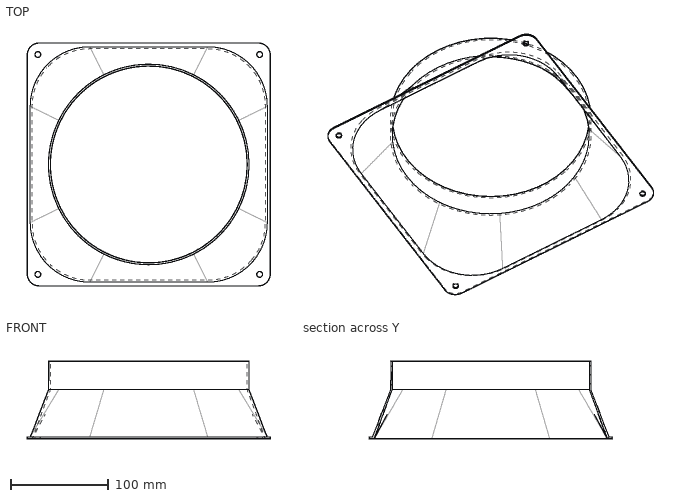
import cadquery as cq
import math

flange_side = 250.0
flange_thickness = 2.0
flange_corner_radius = 12.5
total_height = 80.0

collar_diameter = 206.2
collar_base_height = 50.5
wall = 2.0
hood_length_x = 243.8
hood_length_y = 242.0
hood_corner_radius = 61.2

hole_diameter = 5.8
hole_spacing_x = 228.0
hole_spacing_y = 226.0

outer_radius = collar_diameter / 2
inner_radius = outer_radius - wall


def rounded_rectangle(length_x, length_y, corner_radius, z):
    """Closed wire of four straight sides and four corner arcs."""
    half_x = length_x / 2
    half_y = length_y / 2
    flat_x = half_x - corner_radius
    flat_y = half_y - corner_radius
    arc_x = flat_x + corner_radius * math.sqrt(0.5)
    arc_y = flat_y + corner_radius * math.sqrt(0.5)
    outline = (
        cq.Workplane("XY", origin=(0, 0, z))
        .moveTo(half_x, -flat_y)
        .lineTo(half_x, flat_y)
        .threePointArc((arc_x, arc_y), (flat_x, half_y))
        .lineTo(-flat_x, half_y)
        .threePointArc((-arc_x, arc_y), (-half_x, flat_y))
        .lineTo(-half_x, -flat_y)
        .threePointArc((-arc_x, -arc_y), (-flat_x, -half_y))
        .lineTo(flat_x, -half_y)
        .threePointArc((arc_x, -arc_y), (half_x, -flat_y))
        .close()
    )
    return outline.val()


def split_circle(radius, side_half_angle, end_half_angle, z):
    """Circle of eight arcs, one facing each of the sides and corners of the rectangle."""
    def point(angle):
        return radius * math.cos(angle), radius * math.sin(angle)

    breaks = [-side_half_angle]
    for quarter in range(4):
        middle = quarter * math.pi / 2
        half_angle = end_half_angle if quarter % 2 else side_half_angle
        if quarter:
            breaks.append(middle - half_angle)
        breaks.append(middle + half_angle)
    breaks.append(2 * math.pi - side_half_angle)

    outline = cq.Workplane("XY", origin=(0, 0, z)).moveTo(*point(breaks[0]))
    for start, end in zip(breaks, breaks[1:]):
        outline = outline.threePointArc(point((start + end) / 2), point(end))
    return outline.close().val()


def hood_solid(inset, bottom):
    """Square-to-round transition, drawn in from the outer surface by inset."""
    length_x = hood_length_x - 2 * inset
    length_y = hood_length_y - 2 * inset
    corner_radius = hood_corner_radius - inset
    side_half_angle = math.atan2(length_y / 2 - corner_radius, length_x / 2)
    end_half_angle = math.atan2(length_x / 2 - corner_radius, length_y / 2)
    base = rounded_rectangle(length_x, length_y, corner_radius, bottom)
    circle = split_circle(
        outer_radius - inset, side_half_angle, end_half_angle, collar_base_height
    )
    return cq.Workplane(cq.Solid.makeLoft([base, circle], True))


def vertical_cylinder(radius, bottom, top):
    return cq.Workplane("XY", origin=(0, 0, bottom)).circle(radius).extrude(top - bottom)


flange = (
    cq.Workplane("XY")
    .rect(flange_side, flange_side)
    .extrude(flange_thickness)
    .edges("|Z")
    .fillet(flange_corner_radius)
    .faces(">Z")
    .workplane()
    .rect(hole_spacing_x, hole_spacing_y, forConstruction=True)
    .vertices()
    .hole(hole_diameter)
)
collar = vertical_cylinder(outer_radius, collar_base_height, total_height)
shell = flange.union(hood_solid(0, flange_thickness)).union(collar)

collar_bore = vertical_cylinder(inner_radius, collar_base_height, total_height)
result = shell.cut(hood_solid(wall, 0)).cut(collar_bore)